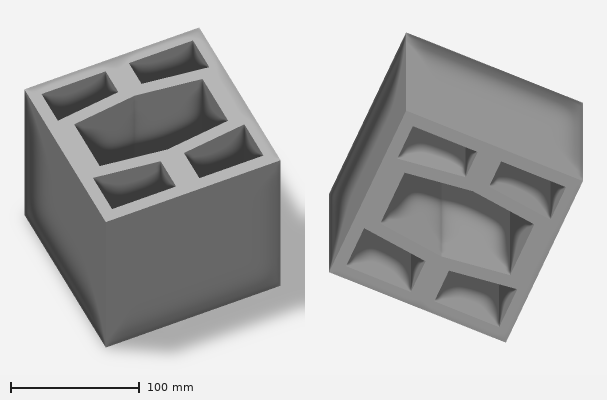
import cadquery as cq
import math

side = 150.0
outer_wall = 10.0
inclined_web = 9.9
rib = 20.0

core_x = -2.5
core_half_length = 55.0
core_middle_half_width = 30.3
core_end_half_width = 23.5

slope = (core_middle_half_width - core_end_half_width) / core_half_length
web_in_x = inclined_web * math.hypot(1, slope)

pocket_outer = side / 2 - outer_wall
pocket_inner_y = rib / 2


def pocket_side_x(side_sign, y):
    """X of a pocket's inclined side at distance y from the centre plane."""
    half_width = core_middle_half_width - slope * y + web_in_x
    return core_x + side_sign * half_width


def prism(points):
    return cq.Workplane("XY").polyline(points).close().extrude(side)


def core():
    left_middle = core_x - core_middle_half_width
    right_middle = core_x + core_middle_half_width
    left_end = core_x - core_end_half_width
    right_end = core_x + core_end_half_width
    return prism([
        (left_middle, 0),
        (left_end, -core_half_length),
        (right_end, -core_half_length),
        (right_middle, 0),
        (right_end, core_half_length),
        (left_end, core_half_length),
    ])


def corner_pocket(x_sign, y_sign):
    return prism([
        (x_sign * pocket_outer, y_sign * pocket_inner_y),
        (pocket_side_x(x_sign, pocket_inner_y), y_sign * pocket_inner_y),
        (pocket_side_x(x_sign, pocket_outer), y_sign * pocket_outer),
        (x_sign * pocket_outer, y_sign * pocket_outer),
    ])


result = cq.Workplane("XY").box(side, side, side, centered=(True, True, False))
result = result.cut(core())
for x_sign in (-1, 1):
    for y_sign in (-1, 1):
        result = result.cut(corner_pocket(x_sign, y_sign))